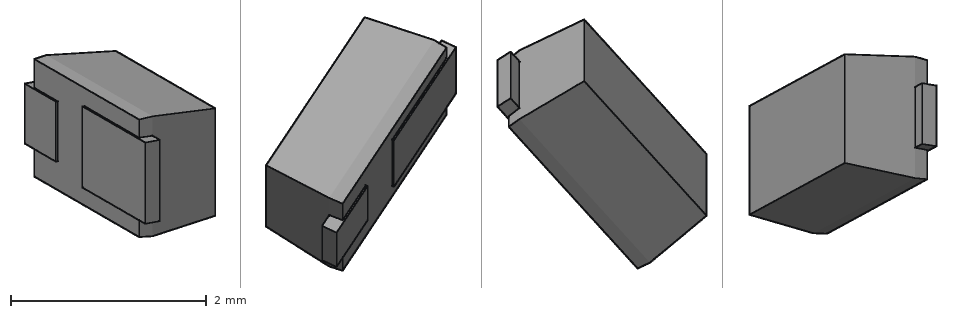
import cadquery as cq
import math

overall_length = 2.5
package_depth = 0.95
standoff = 0.02

body_length = 2.2
body_height = 1.3
draft_angle = 5.0

terminal_thickness = 0.17
small_terminal_length = 0.65
small_terminal_height = 0.65
large_terminal_length = 1.3
large_terminal_height = 0.88

parting_y = terminal_thickness


def drafted_half(end_y):
    """Half of the body, tapering from the parting plane to the plane at end_y."""
    depth = end_y - parting_y
    inset = abs(depth) * math.tan(math.radians(draft_angle))
    return (
        cq.Workplane("XZ", origin=(0, parting_y, 0))
        .rect(body_length, body_height)
        .workplane(offset=-depth)
        .rect(body_length - 2 * inset, body_height - 2 * inset)
        .loft(ruled=True)
    )


def terminal(length, height, side):
    """Flat terminal flush with the package end on the given side (-1 or +1 along X)."""
    center_x = side * (overall_length - length) / 2
    return cq.Workplane("XY").box(length, terminal_thickness, height).translate(
        (center_x, terminal_thickness / 2, 0)
    )


small_terminal = terminal(small_terminal_length, small_terminal_height, side=-1)
large_terminal = terminal(large_terminal_length, large_terminal_height, side=1)

body = drafted_half(standoff).union(drafted_half(package_depth))
body = body.cut(small_terminal).cut(large_terminal)

result = cq.Compound.makeCompound([body.solids().val(), small_terminal.val(), large_terminal.val()])